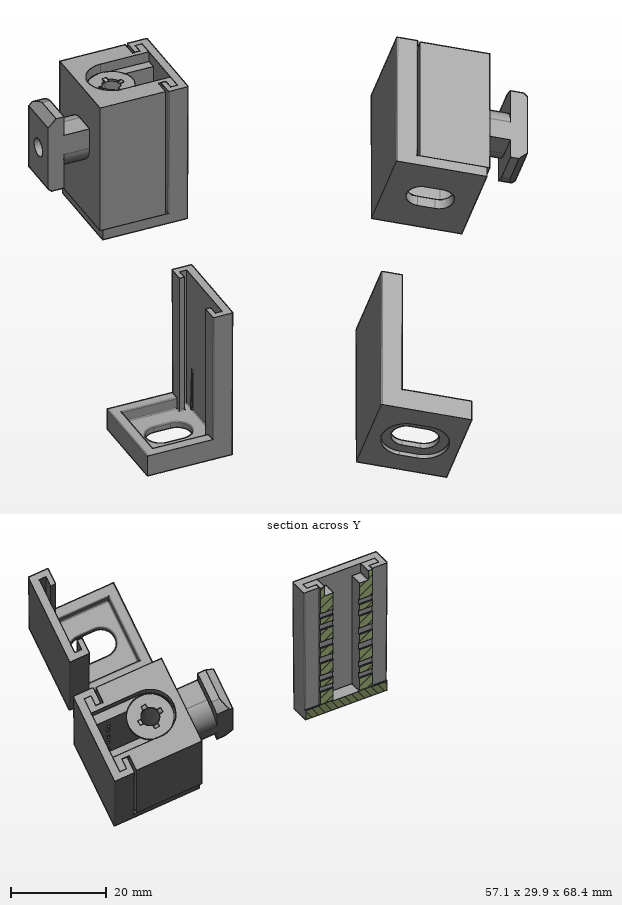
import cadquery as cq
import math


housing_width = 20.0
housing_height = 30.5
shoulder_y = 15.1
neck_width = 12.85

cover_width_top = 20.5
cover_width = housing_width
cover_depth = 19.6
cover_back_y = 20.25
wall = 1.85
channel_width = 17.6
channel_end = 3.4
lip_end = 4.6
lip_opening = 13.0
floor_slot_width = 6.4
floor_slot_length = 10.25
floor_slot_offset = 10.05
plain_floor = 2.45
edge_radius = 0.2

total_height = 68.4
deep_cover_x = 36.65
deep_cover_back_y = 13.5
deep_floor = 5.0
recess_depth = 2.5
recess_rim = 2.3
recess_width = cover_width - 2 * recess_rim
sink_depth = 1.0
wedge_height = 7.4
wedge_x = 6.0
wedge_width = 0.6
wedge_rise = 0.3

disc_y = 7.25
disc_diameter = 10.0
disc_bore = 4.0
disc_thickness = 0.5
pocket_width = 10.7
pocket_depth = 2.4
passage_width = 6.35
drive_reach = 2.8
drive_width = 1.1
drive_angle = 7

window_middle_z = -16.95
neck_windows = [(2.0, 1.6), (6.65, 1.4), (9.6, 1.2)]

nut_z = -13.0
nut_width = 9.6
nut_height = 18.8
nut_thickness = 3.7
nut_corner_radius = 9.65
nut_chamfer = 1.85
shaft_length = 5.9
nut_hole = 4.2

rail_front_y = cover_back_y - channel_end
rail_back_y = cover_back_y - wall


def box(x_min, x_max, y_min, y_max, z_min, z_max):
    """Box between the given limits."""
    size = (x_max - x_min, y_max - y_min, z_max - z_min)
    return cq.Workplane("XY").box(*size, centered=False).translate((x_min, y_min, z_min))


def centred_box(width, y_min, y_max, z_min, z_max):
    """Box between the given limits, symmetric about X = 0."""
    return box(-width / 2, width / 2, y_min, y_max, z_min, z_max)


def round_ended_channel(width, z_min, z_max):
    """Channel round the disc axis at its front and open to the back of the rail."""
    straight = centred_box(width, disc_y, rail_back_y, z_min, z_max)
    end = cq.Workplane("XY").circle(width / 2).extrude(z_max - z_min).translate((0, disc_y, z_min))
    return straight.union(end)


def make_housing():
    block = centred_box(housing_width, 0, shoulder_y, -housing_height, 0)
    neck = centred_box(neck_width, shoulder_y, rail_back_y, -housing_height, 0)
    flange = centred_box(channel_width, rail_front_y, rail_back_y, -housing_height, 0)
    body = block.union(neck).union(flange)
    body = body.cut(round_ended_channel(pocket_width, -pocket_depth, 0))
    body = body.cut(round_ended_channel(passage_width, -housing_height, 0))
    lip_front_y = cover_back_y - lip_end
    for distance, height in neck_windows:
        for side in (-1, 1):
            z = window_middle_z + side * distance
            window = centred_box(neck_width, shoulder_y, lip_front_y, z - height / 2, z + height / 2)
            body = body.cut(window)
    return body


def make_cover(upright_height, floor):
    """Cover with its back at Y = 0 and the top of its floor at Z = 0."""
    profile = (
        cq.Workplane("YZ")
        .polyline([
            (0, -floor),
            (0, upright_height),
            (-lip_end, upright_height),
            (-lip_end, 0),
            (-cover_depth, 0),
            (-cover_depth, -floor),
        ])
        .close()
        .extrude(cover_width_top / 2, both=True)
    )
    tapered_sides = (
        cq.Workplane("XZ")
        .polyline([
            (-cover_width / 2, -floor),
            (cover_width / 2, -floor),
            (cover_width_top / 2, upright_height),
            (-cover_width_top / 2, upright_height),
        ])
        .close()
        .extrude(cover_depth)
    )
    body = profile.intersect(tapered_sides)
    body = round_outer_edges(body, upright_height)
    channel = centred_box(channel_width, -channel_end, -wall, 0, upright_height)
    opening = centred_box(lip_opening, -lip_end, -channel_end, 0, upright_height)
    return body.cut(channel).cut(opening)


def round_edges(body, low, high):
    """Round the edges whose middles lie in the box between two corners, with a margin around it."""
    low = tuple(value - edge_radius for value in low)
    high = tuple(value + edge_radius for value in high)
    return body.edges(cq.selectors.BoxSelector(low, high)).fillet(edge_radius)


def round_outer_edges(body, upright_height):
    """Round the upright edges of the back and the lips, and the front edge of the floor."""
    middle_z = upright_height / 2
    body = round_edges(
        body,
        (-cover_width_top / 2, -lip_end, middle_z - deep_floor),
        (cover_width_top / 2, 0, middle_z + deep_floor),
    )
    return round_edges(body, (0, -cover_depth, 0), (0, -cover_depth, 0))


def floor_slot(width, length, depth):
    """Round-ended slot going down from Z = 0 in the floor of a cover."""
    slot = cq.Workplane("XY").center(0, -floor_slot_offset).slot2D(length, width, 90)
    return slot.extrude(-depth)


def make_wedge(x):
    """Ramp on the front of the upright, fading out upward."""
    return (
        cq.Workplane("YZ")
        .polyline([
            (-wall, -recess_depth),
            (-wall - wedge_rise, -recess_depth),
            (-wall, wedge_height),
        ])
        .close()
        .extrude(wedge_width / 2, both=True)
        .translate((x, 0, 0))
    )


def make_plain_cover():
    cover = make_cover(housing_height, plain_floor)
    cover = cover.cut(floor_slot(floor_slot_width, floor_slot_length, plain_floor))
    return cover.translate((0, cover_back_y, -housing_height))


def make_recess():
    """Recess in the deep floor, running back between the lips and into the channel."""
    middle = centred_box(recess_width, -cover_depth + recess_rim, -lip_end, -recess_depth, 0)
    between_lips = centred_box(lip_opening, -lip_end, -channel_end, -recess_depth, 0)
    channel_foot = centred_box(channel_width, -channel_end, -wall, -recess_depth, 0)
    recess = middle.union(between_lips).union(channel_foot)
    return recess.faces("<Z").edges().fillet(edge_radius)


def round_recess_mouth(cover):
    """Round the upper edges of the recess in front of the lips."""
    front_y = recess_rim - cover_depth
    return round_edges(cover, (-recess_width / 2, front_y, 0), (recess_width / 2, front_y / 2, 0))


def round_slot_mouth(cover):
    """Round the upper edge of the floor slot."""
    half_width = floor_slot_width / 2
    half_length = floor_slot_length / 2
    return round_edges(
        cover,
        (-half_width, -floor_slot_offset - half_length, -recess_depth),
        (half_width, -floor_slot_offset + half_length, -recess_depth),
    )


def make_deep_cover():
    rim_z = deep_floor - total_height
    upright_height = -rim_z - housing_height - plain_floor
    cover = make_cover(upright_height, deep_floor).cut(make_recess())
    slot = floor_slot(floor_slot_width, floor_slot_length, deep_floor)
    sink_size = pocket_width - floor_slot_width
    sink = floor_slot(pocket_width, floor_slot_length + sink_size, sink_depth)
    cover = cover.cut(slot).cut(sink.translate((0, 0, sink_depth - deep_floor)))
    cover = round_recess_mouth(cover)
    cover = round_slot_mouth(cover)
    for side in (-1, 1):
        cover = cover.union(make_wedge(side * wedge_x))
    return cover.translate((deep_cover_x, deep_cover_back_y, rim_z))


def make_drive_disc():
    disc = cq.Workplane("XY").circle(disc_diameter / 2).circle(disc_bore / 2).extrude(-disc_thickness)
    notch = (
        cq.Workplane("XZ")
        .polyline([
            (-drive_reach, 0),
            (drive_reach, 0),
            (disc_bore / 2, -disc_thickness),
            (-disc_bore / 2, -disc_thickness),
        ])
        .close()
        .extrude(drive_width / 2, both=True)
    )
    for quarter in (0, 90):
        disc = disc.cut(notch.rotate((0, 0, 0), (0, 0, 1), drive_angle + quarter))
    return disc.translate((0, disc_y, disc_thickness - pocket_depth))


def two_corner_outline(half_width, half_height, radius):
    """Rectangle whose upper left and lower right corners follow a circle about its centre."""
    arc_x = math.sqrt(radius**2 - half_height**2)
    arc_z = math.sqrt(radius**2 - half_width**2)
    middle_angle = (math.atan2(half_height, arc_x) + math.atan2(arc_z, half_width)) / 2
    middle = (radius * math.cos(middle_angle), radius * math.sin(middle_angle))
    outline = cq.Workplane("XZ").moveTo(-half_width, arc_z)
    outline = outline.threePointArc((-middle[0], middle[1]), (-arc_x, half_height))
    outline = outline.lineTo(half_width, half_height).lineTo(half_width, -arc_z)
    outline = outline.threePointArc((middle[0], -middle[1]), (arc_x, -half_height))
    return outline.lineTo(-half_width, -half_height).close()


def make_hammer_nut():
    shaft = two_corner_outline(nut_width / 2, nut_width / 2, nut_width / 2).extrude(shaft_length)
    plate = two_corner_outline(nut_width / 2, nut_height / 2, nut_corner_radius).extrude(nut_thickness)
    slope = (
        cq.Workplane("YZ")
        .polyline([
            (-nut_thickness, nut_height / 2 - nut_chamfer),
            (-nut_thickness, nut_height / 2),
            (-nut_thickness + nut_chamfer, nut_height / 2),
        ])
        .close()
        .extrude(nut_width / 2, both=True)
    )
    plate = plate.cut(slope).cut(slope.mirror("XY"))
    nut = shaft.union(plate.translate((0, -shaft_length, 0)))
    hole = cq.Workplane("XZ").circle(nut_hole / 2).extrude(shaft_length + nut_thickness)
    return nut.cut(hole).translate((0, 0, nut_z))


housing = make_housing()
plain_cover = make_plain_cover()
deep_cover = make_deep_cover()
drive_disc = make_drive_disc()
hammer_nut = make_hammer_nut()

result = cq.Compound.makeCompound([
    housing.val(),
    plain_cover.val(),
    deep_cover.val(),
    drive_disc.val(),
    hammer_nut.val(),
])